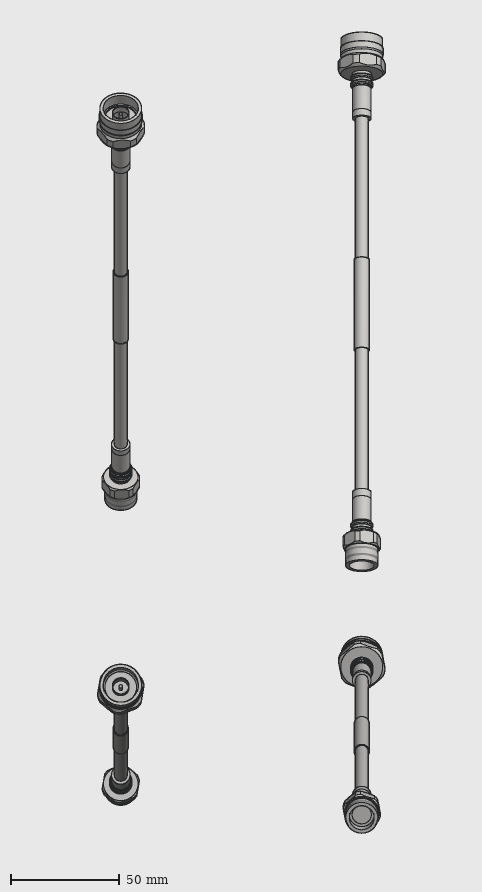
import cadquery as cq
import math

UP = 1
DOWN = -1
TOTAL_LENGTH = 262.2

CABLE_R = 6.0 / 2
LABEL_R = 7.0 / 2
LABEL_LENGTH = 45.0
LABEL_CENTRE_Z = 130.0

FERRULE_R = 8.7 / 2
FERRULE_WALL = 0.31
FERRULE_BORE_R = FERRULE_R - FERRULE_WALL
FERRULE_LENGTH = 15.2
MOUTH_LENGTH = 3.5
LOWER_MOUTH_Z = 36.7
UPPER_MOUTH_Z = 223.0

NECK_R = 4.5
BEAD_R = 5.2
BEAD_WIDTH = 1.8
BEAD_CHAMFER_LENGTH = 0.5
BEAD_CHAMFER_DEPTH = 0.4
BEAD_OFFSET = 1.5
BEAD_PITCH = 3.1
BEAD_COUNT = 2

FLANGE_R = 7.3
FLANGE_LENGTH = 5.2
FLANGE_RECESS = 0.8

SLEEVE_R = 7.9 / 2
SLEEVE_WALL = 0.2
SLEEVE_BORE_R = SLEEVE_R - SLEEVE_WALL
SLEEVE_RECESS = 3.1
SLEEVE_FLOOR_RECESS = 10.5
PIN_R = 0.8
PIN_RECESS = 4.0

UPPER_HEX_FLATS = 20.5
UPPER_HEX_CORNER_R = 22.0 / 2
UPPER_HEX_CHAMFER = 1.3
UPPER_HEX_BOTTOM = 245.2
UPPER_HEX_TOP = 252.0
UPPER_BAND_R = 10.0
UPPER_BAND_STEP = 0.3
UPPER_BAND_BOTTOM = 253.8
UPPER_BAND_TOP = 257.7
UPPER_BAND_TAPER = 0.8
UPPER_BORE_R = 8.0
UPPER_BORE_DEPTH = 5.8

LOWER_HEX_FLATS = 16.3
LOWER_HEX_CORNER_R = 17.5 / 2
LOWER_HEX_CHAMFER = 0.8
LOWER_HEX_BOTTOM = 8.0
LOWER_HEX_TOP = 14.7
LOWER_BAND_R = 7.5
LOWER_BAND_STEP = 0.15
LOWER_BAND_BOTTOM = 2.5
LOWER_BAND_TOP = 6.5
LOWER_BAND_TAPER = 0.5
LOWER_BORE_R = 5.8
LOWER_BORE_DEPTH = 5.2


def disc(radius, start_z, end_z):
    """Solid cylinder on the Z axis between two heights, in either order."""
    return cq.Workplane("XY").workplane(offset=start_z).circle(radius).extrude(end_z - start_z)


def turned(profile):
    """Solid of revolution about Z from a closed outline of (radius, z) points."""
    return cq.Workplane("XZ").polyline(profile).close().revolve(360, (0, 0, 0), (0, 1, 0))


def hexagon(flats, corner_r, chamfer, bottom_z, top_z):
    """Hexagonal prism with flats facing X, its corners turned round and chamfered."""
    across_corners = flats / math.cos(math.pi / 6)
    prism = (
        cq.Workplane("XY")
        .workplane(offset=bottom_z)
        .transformed(rotate=(0, 0, 30))
        .polygon(6, across_corners)
        .extrude(top_z - bottom_z)
    )
    turned_blank = disc(corner_r, bottom_z, top_z).faces("<Z or >Z").chamfer(chamfer)
    return prism.intersect(turned_blank)


def make_cable():
    return disc(CABLE_R, LOWER_MOUTH_Z - MOUTH_LENGTH, UPPER_MOUTH_Z + MOUTH_LENGTH)


def make_label():
    bottom_z = LABEL_CENTRE_Z - LABEL_LENGTH / 2
    top_z = LABEL_CENTRE_Z + LABEL_LENGTH / 2
    return disc(LABEL_R, bottom_z, top_z).cut(disc(CABLE_R, bottom_z, top_z))


def make_ferrule(mouth_z, direction):
    """Sleeve from its cable mouth towards the connector, wider inside past the mouth."""
    step_z = mouth_z + direction * MOUTH_LENGTH
    end_z = mouth_z + direction * FERRULE_LENGTH
    outside = disc(FERRULE_R, mouth_z, end_z)
    return outside.cut(disc(CABLE_R, mouth_z, step_z)).cut(disc(FERRULE_BORE_R, step_z, end_z))


def make_bead(centre_z):
    bead = disc(BEAD_R, centre_z - BEAD_WIDTH / 2, centre_z + BEAD_WIDTH / 2)
    return bead.faces("<Z or >Z").chamfer(BEAD_CHAMFER_LENGTH, BEAD_CHAMFER_DEPTH)


def make_beaded_stem(mouth_z, direction, end_z):
    """Stem that fills the ferrule, then the neck with its beads up to end_z."""
    shoulder_z = mouth_z + direction * FERRULE_LENGTH
    stem = disc(FERRULE_BORE_R, mouth_z + direction * MOUTH_LENGTH, shoulder_z)
    stem = stem.union(disc(NECK_R, shoulder_z, end_z))
    for i in range(BEAD_COUNT):
        stem = stem.union(make_bead(shoulder_z + direction * (BEAD_OFFSET + i * BEAD_PITCH)))
    return stem


UPPER_LEDGE_Z = TOTAL_LENGTH - UPPER_BORE_DEPTH
FLANGE_TOP_Z = UPPER_LEDGE_Z - FLANGE_RECESS
FLANGE_BOTTOM_Z = FLANGE_TOP_Z - FLANGE_LENGTH
SLEEVE_END_Z = TOTAL_LENGTH - SLEEVE_RECESS
SLEEVE_FLOOR_Z = TOTAL_LENGTH - SLEEVE_FLOOR_RECESS


def make_upper_body():
    body = make_beaded_stem(UPPER_MOUTH_Z, UP, FLANGE_BOTTOM_Z)
    body = body.union(disc(FLANGE_R, FLANGE_BOTTOM_Z, FLANGE_TOP_Z))
    body = body.union(disc(SLEEVE_R, FLANGE_TOP_Z, SLEEVE_END_Z))
    return body.cut(disc(SLEEVE_BORE_R, SLEEVE_FLOOR_Z, SLEEVE_END_Z))


def make_lower_body():
    return make_beaded_stem(LOWER_MOUTH_Z, DOWN, LOWER_BORE_DEPTH)


def make_pin():
    return disc(PIN_R, SLEEVE_FLOOR_Z, TOTAL_LENGTH - PIN_RECESS)


def make_upper_nut():
    barrel_r = UPPER_BAND_R - UPPER_BAND_STEP
    barrel = turned([
        (0, UPPER_HEX_TOP),
        (barrel_r, UPPER_HEX_TOP),
        (barrel_r, UPPER_BAND_BOTTOM),
        (UPPER_BAND_R, UPPER_BAND_BOTTOM + UPPER_BAND_TAPER),
        (UPPER_BAND_R, UPPER_BAND_TOP),
        (barrel_r, UPPER_BAND_TOP),
        (barrel_r, TOTAL_LENGTH),
        (0, TOTAL_LENGTH),
    ])
    nut = hexagon(UPPER_HEX_FLATS, UPPER_HEX_CORNER_R, UPPER_HEX_CHAMFER, UPPER_HEX_BOTTOM, UPPER_HEX_TOP)
    return (
        nut.union(barrel)
        .cut(disc(NECK_R, UPPER_HEX_BOTTOM, FLANGE_BOTTOM_Z))
        .cut(disc(FLANGE_R, FLANGE_BOTTOM_Z, UPPER_LEDGE_Z))
        .cut(disc(UPPER_BORE_R, UPPER_LEDGE_Z, TOTAL_LENGTH))
    )


def make_lower_nut():
    barrel_r = LOWER_BAND_R - LOWER_BAND_STEP
    barrel = turned([
        (0, 0),
        (barrel_r, 0),
        (barrel_r, LOWER_BAND_BOTTOM),
        (LOWER_BAND_R, LOWER_BAND_BOTTOM + LOWER_BAND_TAPER),
        (LOWER_BAND_R, LOWER_BAND_TOP - LOWER_BAND_TAPER),
        (barrel_r, LOWER_BAND_TOP),
        (barrel_r, LOWER_HEX_BOTTOM),
        (0, LOWER_HEX_BOTTOM),
    ])
    nut = hexagon(LOWER_HEX_FLATS, LOWER_HEX_CORNER_R, LOWER_HEX_CHAMFER, LOWER_HEX_BOTTOM, LOWER_HEX_TOP)
    return (
        nut.union(barrel)
        .cut(disc(NECK_R, LOWER_BORE_DEPTH, LOWER_HEX_TOP))
        .cut(disc(LOWER_BORE_R, 0, LOWER_BORE_DEPTH))
    )


cable = make_cable()
label = make_label()
ferrules = [
    make_ferrule(mouth_z, direction)
    for mouth_z, direction in ((LOWER_MOUTH_Z, DOWN), (UPPER_MOUTH_Z, UP))
]
lower_body = make_lower_body()
upper_body = make_upper_body()
pin = make_pin()
lower_nut = make_lower_nut()
upper_nut = make_upper_nut()

result = cq.Compound.makeCompound([
    cable.val(),
    label.val(),
    *[ferrule.val() for ferrule in ferrules],
    lower_body.val(),
    upper_body.val(),
    pin.val(),
    lower_nut.val(),
    upper_nut.val(),
])